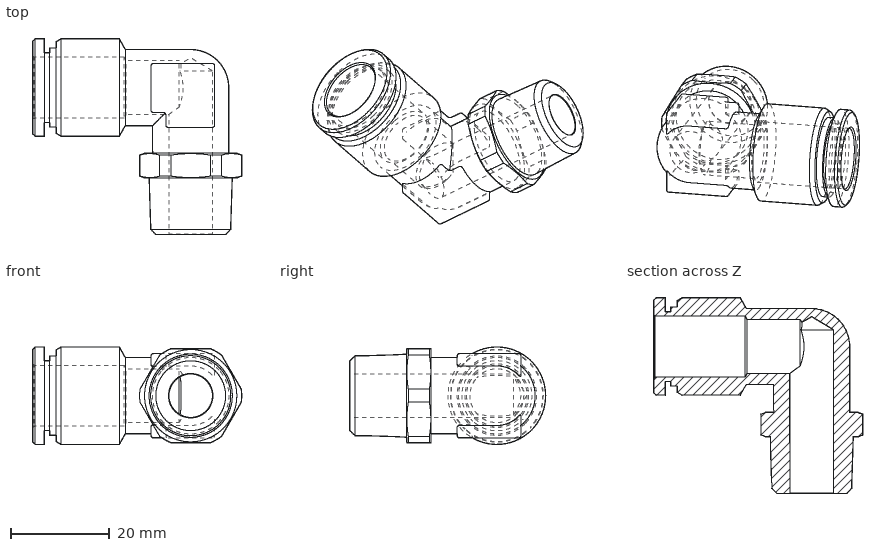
import cadquery as cq
import math


NECK_RADIUS = 7.75

TUBE_REACH = 32.0
COLLAR_RADIUS = 9.9
COLLAR_LENGTH = 2.35
COLLAR_CHAMFER = 0.5
GROOVE_RADIUS = 7.1
GROOVE_LENGTH = 1.1
STEP_RADIUS = 8.05
STEP_LENGTH = 1.3
SLEEVE_RADIUS = 9.9
SLEEVE_LENGTH = 14.0
SLEEVE_LEAD_LENGTH = 1.0
SLEEVE_LEAD_DROP = 0.6
SLEEVE_TAPER_LENGTH = 1.2

SOCKET_RADIUS = 6.15
SOCKET_CHAMFER = 0.3
SOCKET_DEPTH = 18.5
TUBE_BORE_RADIUS = 5.45
TUBE_BORE_END = -2.35

STUD_REACH = 29.8
HEX_NEAR = 13.3
HEX_LENGTH = 5.0
HEX_FLATS = 19.1
HEX_CORNER_RADIUS = 10.35
HEX_CHAMFER_RADIUS = 9.35
HEX_CHAMFER_ANGLE = 20.0
THREAD_RADIUS = 8.44
THREAD_TAPER = 1.0 / 16.0
THREAD_CHAMFER_LENGTH = 1.1
STUD_FACE_RADIUS = 7.07

STUD_BORE_RADIUS = 4.4
STUD_BORE_CHAMFER = 0.1
STUD_BORE_END = 3.4

DRILL_HALF_ANGLE = 59.0

PAD_HEIGHT = 8.55
PAD_OUTER = 4.87
PAD_INNER = 8.05
PAD_NOTCH = 5.05
PAD_FILLET = 0.5


def drill_tip_length(radius):
    """Length of the conical tip left by a drill of the given radius."""
    return radius / math.tan(math.radians(DRILL_HALF_ANGLE))


def turned_about_x(profile):
    """Solid of revolution about X from (x, radius) points."""
    return cq.Workplane("XY").polyline(profile).close().revolve(360, (0, 0, 0), (1, 0, 0))


def turned_about_y(profile):
    """Solid of revolution about Y from (radius, y) points."""
    return cq.Workplane("XY").polyline(profile).close().revolve(360, (0, 0, 0), (0, 1, 0))


def tube_leg():
    """Release collar, groove, step, sleeve and neck, turned about X."""
    face = -TUBE_REACH
    groove_start = face + COLLAR_LENGTH
    step_start = groove_start + GROOVE_LENGTH
    sleeve_start = step_start + STEP_LENGTH
    taper_start = sleeve_start + SLEEVE_LENGTH - SLEEVE_TAPER_LENGTH
    taper_end = sleeve_start + SLEEVE_LENGTH
    return turned_about_x([
        (face, 0),
        (face, COLLAR_RADIUS - COLLAR_CHAMFER),
        (face + COLLAR_CHAMFER, COLLAR_RADIUS),
        (groove_start, COLLAR_RADIUS),
        (groove_start, GROOVE_RADIUS),
        (step_start, GROOVE_RADIUS),
        (step_start, STEP_RADIUS),
        (sleeve_start, STEP_RADIUS),
        (sleeve_start, SLEEVE_RADIUS - SLEEVE_LEAD_DROP),
        (sleeve_start + SLEEVE_LEAD_LENGTH, SLEEVE_RADIUS),
        (taper_start, SLEEVE_RADIUS),
        (taper_end, NECK_RADIUS),
        (0, NECK_RADIUS),
        (0, 0),
    ])


def stud_leg():
    """Neck and tapered thread envelope, turned about Y."""
    thread_start = -(HEX_NEAR + HEX_LENGTH)
    thread_end = -STUD_REACH + THREAD_CHAMFER_LENGTH
    end_radius = THREAD_RADIUS - (thread_start - thread_end) * THREAD_TAPER / 2
    return turned_about_y([
        (0, 0),
        (NECK_RADIUS, 0),
        (NECK_RADIUS, thread_start),
        (THREAD_RADIUS, thread_start),
        (end_radius, thread_end),
        (STUD_FACE_RADIUS, -STUD_REACH),
        (0, -STUD_REACH),
    ])


def hexagon():
    """Wrench hexagon with corners on +X and -X, rounded and chamfered at both ends."""
    near = -HEX_NEAR
    far = near - HEX_LENGTH
    across_corners = HEX_FLATS / math.cos(math.pi / 6)
    prism = cq.Workplane("XZ", origin=(0, near, 0)).polygon(6, across_corners).extrude(HEX_LENGTH)
    slope = math.tan(math.radians(HEX_CHAMFER_ANGLE))
    chamfer = (HEX_CORNER_RADIUS - HEX_CHAMFER_RADIUS) * slope
    envelope = turned_about_y([
        (0, near),
        (HEX_CHAMFER_RADIUS, near),
        (HEX_CORNER_RADIUS, near - chamfer),
        (HEX_CORNER_RADIUS, far + chamfer),
        (HEX_CHAMFER_RADIUS, far),
        (0, far),
    ])
    return prism.intersect(envelope)


def pads():
    """Notched block through the elbow that forms a raised pad on each side."""
    outline = [
        (-PAD_INNER, PAD_OUTER),
        (PAD_OUTER, PAD_OUTER),
        (PAD_OUTER, -PAD_INNER),
        (-PAD_NOTCH, -PAD_INNER),
        (-PAD_NOTCH, -PAD_NOTCH),
        (-PAD_INNER, -PAD_NOTCH),
    ]
    block = cq.Workplane("XY").polyline(outline).close().extrude(PAD_HEIGHT, both=True)
    return block.edges().fillet(PAD_FILLET)


def tube_bore():
    """Tube socket, its conical stop and the narrower bore with a drilled end."""
    face = -TUBE_REACH
    stop = face + SOCKET_DEPTH
    stop_length = drill_tip_length(SOCKET_RADIUS) - drill_tip_length(TUBE_BORE_RADIUS)
    return turned_about_x([
        (face, 0),
        (face, SOCKET_RADIUS + SOCKET_CHAMFER),
        (face + SOCKET_CHAMFER, SOCKET_RADIUS),
        (stop, SOCKET_RADIUS),
        (stop + stop_length, TUBE_BORE_RADIUS),
        (TUBE_BORE_END, TUBE_BORE_RADIUS),
        (TUBE_BORE_END + drill_tip_length(TUBE_BORE_RADIUS), 0),
    ])


def stud_bore():
    """Drilled bore through the stud, ending in a conical tip inside the elbow."""
    return turned_about_y([
        (0, -STUD_REACH),
        (STUD_BORE_RADIUS + STUD_BORE_CHAMFER, -STUD_REACH),
        (STUD_BORE_RADIUS, -STUD_REACH + STUD_BORE_CHAMFER),
        (STUD_BORE_RADIUS, STUD_BORE_END),
        (0, STUD_BORE_END + drill_tip_length(STUD_BORE_RADIUS)),
    ])


elbow = cq.Workplane("XY").sphere(NECK_RADIUS)
body = elbow.union(tube_leg()).union(stud_leg()).union(hexagon()).union(pads())
result = body.cut(tube_bore()).cut(stud_bore())